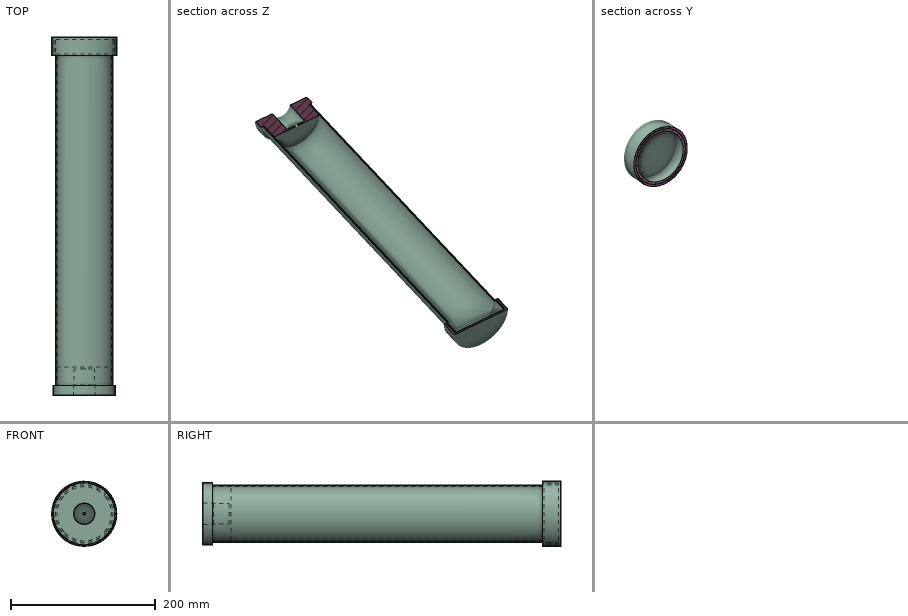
import cadquery as cq

overall_length = 495.3
foot_face = -overall_length / 2
head_face = overall_length / 2

tube_diameter = 79.38
tube_bore_diameter = 74.93
tube_wall = (tube_diameter - tube_bore_diameter) / 2
bell_diameter = 83.69
bell_bore_diameter = bell_diameter - 2 * tube_wall

head_diameter = 90.04
head_length = 25.4
head_wall = (head_diameter - bell_diameter) / 2
head_rim = head_face - head_length
head_floor = head_face - head_wall

foot_diameter = 85.85
foot_length = 14.0
flange_back = foot_face + foot_length
plug_length = 25.4

port_diameter = 29.4
port_step_depth = 14.8
port_inner_diameter = 28.9
port_floor_thickness = 3.0
vent_diameter = 3.5


def rod(diameter, start, end):
    """Cylinder on the Y axis between two Y positions."""
    plane = cq.Workplane("XZ", origin=(0, start, 0))
    return plane.circle(diameter / 2).extrude(start - end)


def make_tube():
    body = rod(tube_diameter, flange_back, head_rim)
    bell = rod(bell_diameter, head_rim, head_floor)
    bore = rod(tube_bore_diameter, flange_back, head_floor)
    bell_bore = rod(bell_bore_diameter, head_rim + tube_wall, head_floor)
    return body.union(bell).cut(bore).cut(bell_bore)


def make_head_cap():
    cup = rod(head_diameter, head_rim, head_face)
    return cup.cut(rod(bell_diameter, head_rim, head_floor))


def make_foot_cap():
    plug_end = flange_back + plug_length
    flange = rod(foot_diameter, foot_face, flange_back)
    cap = flange.union(rod(tube_bore_diameter, flange_back, plug_end))
    cap = cap.cut(rod(port_diameter, foot_face, foot_face + port_step_depth))
    cap = cap.cut(rod(port_inner_diameter, foot_face, plug_end - port_floor_thickness))
    return cap.cut(rod(vent_diameter, foot_face, plug_end))


tube = make_tube()
head_cap = make_head_cap()
foot_cap = make_foot_cap()

result = cq.Compound.makeCompound([tube.val(), head_cap.val(), foot_cap.val()])